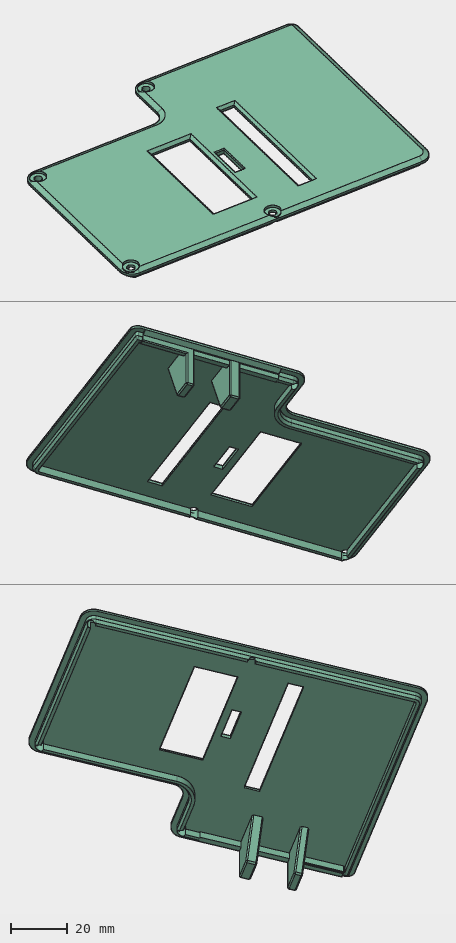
import cadquery as cq

width = 92.2
length = 128.8
height = 18.9
notch_width = 22.9
notch_length = 60.0
corner_radius = 5.0
small_corner_radius = 3.0

bevel_drop = 1.0
bevel_width = 2 * bevel_drop
plate_thickness = 2 * bevel_drop

leg_face = bevel_width
rim_setback = 0.1
rim_inset = leg_face + rim_setback
rim_bottom = 5.0
rim_thickness = plate_thickness
rim_chamfer_width = 0.8
rim_chamfer_height = 1.2

overlap = 0.6

side_start = 70.8
side_end = 124.2
side_wall_setback = 0.5
side_face = leg_face + side_wall_setback
ledge_drop = bevel_drop
leg_top_reach = 16.1
leg_bottom_reach = 8.2
leg_chamfer = 0.5
front_leg_start, front_leg_end = 86.0, 90.2
rear_leg_start, rear_leg_end = 104.0, 107.2
raised_wall_bottom = 5.5
raised_wall_chamfer = 0.4

hole_diameter = 3.0
counterbore_diameter = 6.0
counterbore_depth = plate_thickness / 2
hole_edge_gap = 4.3
hole_end_gap = 4.0
side_hole_edge_gap = 3.7
side_hole_y = 63.2
screw_positions = [
    (hole_edge_gap, notch_length + hole_end_gap),
    (notch_width + hole_edge_gap, hole_end_gap),
    (width - hole_edge_gap, hole_end_gap),
    (width - side_hole_edge_gap, side_hole_y),
]

windows = [
    (28.0, 78.5, 81.4, 86.2, 1.0),
    (49.1, 63.9, 62.9, 68.1, 0.4),
    (35.7, 44.3, 79.0, 62.7, 1.2),
]


def outline_prism(inset, top, bottom):
    """Notched outline moved inward by inset, between two depths below Z = 0."""
    left, right = inset, width - inset
    front, back = inset, length - inset
    notch_x, notch_y = notch_width + inset, notch_length + inset
    prism = (
        cq.Workplane("XY", origin=(0, 0, -bottom))
        .polyline([
            (notch_x, front), (right, front), (right, back),
            (left, back), (left, notch_y), (notch_x, notch_y),
        ])
        .close()
        .extrude(bottom - top)
    )

    def round_corner(body, x, y, radius):
        if radius <= 0:
            return body
        selector = cq.selectors.NearestToPointSelector((x, y, -(top + bottom) / 2))
        return body.edges("|Z").edges(selector).fillet(radius)

    prism = round_corner(prism, notch_x, notch_y, corner_radius + inset)
    prism = round_corner(prism, left, back, small_corner_radius - inset)
    for x, y in [(notch_x, front), (right, front), (right, back), (left, notch_y)]:
        prism = round_corner(prism, x, y, corner_radius - inset)
    return prism


def box(x_range, y_range, z_range):
    """Box spanning the given (low, high) ranges."""
    (x0, x1), (y0, y1), (z0, z1) = x_range, y_range, z_range
    return cq.Workplane("XY").box(x1 - x0, y1 - y0, z1 - z0, centered=False).translate((x0, y0, z0))


def make_plate():
    """Plate with the sloped border around its top face."""
    plate = outline_prism(0, 0, plate_thickness)
    return plate.faces(">Z").chamfer(bevel_drop, bevel_width)


def make_rim():
    """Ring under the plate with its outer bottom edge chamfered."""
    rim = outline_prism(rim_inset, plate_thickness - overlap, rim_bottom)
    rim = rim.faces("<Z").chamfer(rim_chamfer_width, rim_chamfer_height)
    return rim.cut(outline_prism(rim_inset + rim_thickness, plate_thickness - overlap, rim_bottom))


def make_ledge():
    """Sloped ledge under the plate border that runs along the flat side wall."""
    ledge_bottom = -plate_thickness - ledge_drop
    return (
        cq.Workplane("XZ", origin=(0, side_end, 0))
        .polyline([
            (0, -plate_thickness),
            (leg_face, ledge_bottom),
            (rim_inset + rim_thickness, ledge_bottom),
            (rim_inset + rim_thickness, -plate_thickness + overlap),
            (leg_face, -plate_thickness + overlap),
            (leg_face, -plate_thickness),
        ])
        .close()
        .extrude(side_end - side_start)
    )


def make_side_wall():
    """Flat unchamfered stretch of the rim, set back behind the leg faces."""
    return box(
        (side_face, side_face + rim_thickness),
        (side_start, side_end),
        (-rim_bottom, -plate_thickness + overlap),
    )


def make_raised_wall():
    """Wall level with the leg faces, from the rear leg to the end of the side wall."""
    wall = box(
        (leg_face, leg_face + rim_thickness),
        (rear_leg_end - leg_chamfer, side_end),
        (-raised_wall_bottom, -plate_thickness + overlap),
    )
    return wall.edges("<X and <Z").chamfer(raised_wall_chamfer)


def make_leg(start, end):
    """Tapered leg between two Y positions, hanging from inside the plate."""
    top = -plate_thickness + overlap
    leg = (
        cq.Workplane("XZ", origin=(leg_face, end, 0))
        .polyline([
            (0, top),
            (leg_top_reach, top),
            (leg_bottom_reach, -height),
            (0, -height),
        ])
        .close()
        .extrude(end - start)
    )
    return leg.faces("not >Z").edges("not >Z").chamfer(leg_chamfer)


def window_cutter(left, bottom, right, top, slope):
    """Rectangular opening whose four sides slope in from the top face."""
    inner_x = (left + slope, right - slope)
    inner_y = (bottom + slope, top - slope)
    funnel = (
        cq.Workplane("XY", origin=((left + right) / 2, (bottom + top) / 2, 0))
        .rect(right - left, top - bottom)
        .workplane(offset=-slope)
        .rect(inner_x[1] - inner_x[0], inner_y[1] - inner_y[0])
        .loft(ruled=True)
    )
    return funnel.union(box(inner_x, inner_y, (-plate_thickness, 0)))


def drill(body, diameter, depth):
    """Cut round holes of one diameter at every screw position."""
    holes = (
        cq.Workplane("XY")
        .pushPoints(screw_positions)
        .circle(diameter / 2)
        .extrude(-depth)
    )
    return body.cut(holes)


side_cut = box(
    (0, rim_inset + rim_thickness),
    (side_start, side_end),
    (-rim_bottom, -plate_thickness),
)

result = make_plate().union(make_rim()).cut(side_cut)
result = result.union(make_side_wall()).union(make_ledge()).union(make_raised_wall())
for leg_start, leg_end in [(front_leg_start, front_leg_end), (rear_leg_start, rear_leg_end)]:
    result = result.union(make_leg(leg_start, leg_end))
for window in windows:
    result = result.cut(window_cutter(*window))
result = drill(result, counterbore_diameter, counterbore_depth)
result = drill(result, hole_diameter, rim_bottom)